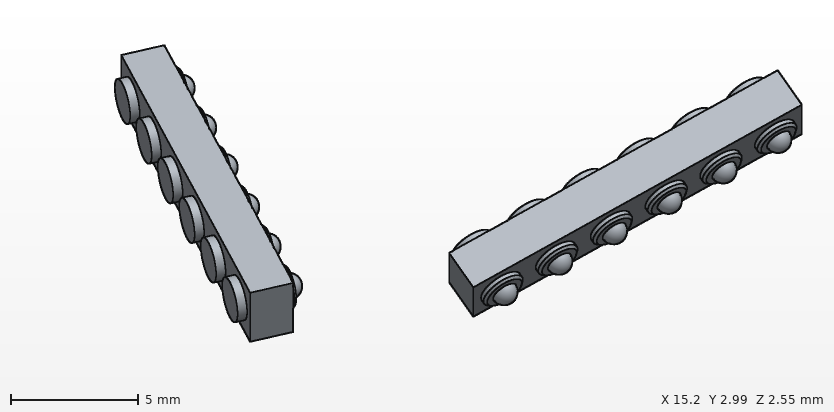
import cadquery as cq

length = 15.24
height = 2.55
housing_depth = 1.8
pin_count = 6
pitch = length / pin_count

pin_radius = 1.83 / 2
front_projection = 0.4
rear_projection = 0.29
rear_chamfer = 0.1
dome_height = 0.5
dome_base_radius = 0.53

housing_front = -housing_depth / 2
pin_front = housing_front - front_projection
pin_rear = housing_depth / 2 + rear_projection
dome_tip = pin_rear + dome_height

pin_places = [(i - (pin_count - 1) / 2) * pitch for i in range(pin_count)]


def make_housing():
    """Rectangular bar, bored along Y for every pin."""
    bar = cq.Workplane("XY").box(length, housing_depth, height)
    bores = (
        cq.Workplane("XZ", origin=(0, housing_front, 0))
        .pushPoints([(x, 0) for x in pin_places])
        .circle(pin_radius)
        .extrude(-housing_depth)
    )
    return bar.cut(bores)


def make_pin(x):
    """Pin turned about a Y axis at x: flat front, chamfered rear edge and dome."""
    sphere_radius = (dome_base_radius**2 + dome_height**2) / (2 * dome_height)
    sphere_center = dome_tip - sphere_radius
    arc_x = dome_base_radius / 2
    arc_y = sphere_center + (sphere_radius**2 - arc_x**2) ** 0.5

    half_profile = (
        cq.Workplane("XY")
        .moveTo(0, pin_front)
        .lineTo(pin_radius, pin_front)
        .lineTo(pin_radius, pin_rear - rear_chamfer)
        .lineTo(pin_radius - rear_chamfer, pin_rear)
        .lineTo(dome_base_radius, pin_rear)
        .threePointArc((arc_x, arc_y), (0, dome_tip))
        .close()
    )
    return half_profile.revolve(360, (0, 0, 0), (0, 1, 0)).translate((x, 0, 0))


housing = make_housing()
pins = [make_pin(x) for x in pin_places]

result = cq.Compound.makeCompound([housing.val(), *[pin.val() for pin in pins]])